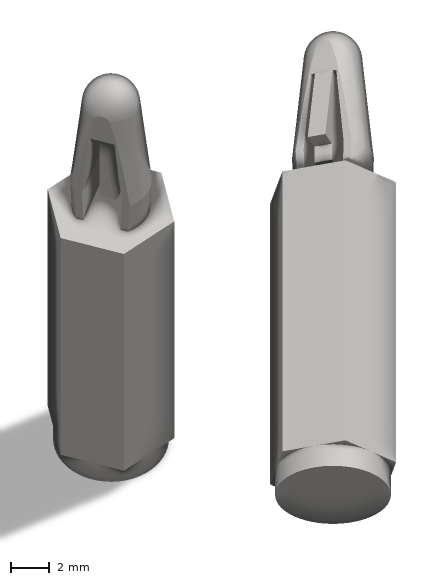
import cadquery as cq
import math

total_height = 27.5
across_flats = 6.0
across_corners = across_flats / math.cos(math.radians(30))
collar_height = 1.3
body_top = 18.05

base_radius = 2.04
shoulder_radius = 2.12
shoulder_z = 20.08
dome_radius = 1.5
dome_base_z = 26.12
head_thickness = 2.92

slot_top_z = 24.5
slot_base_half_width = 1.02
slot_shoulder_half_width = 1.1
slot_top_half_width = 0.7

tongue_width = 0.95
tongue_bottom_z = 19.1
tongue_back_y = 1.55
tongue_fillet = 1.02
tongue_front_y = tongue_fillet - head_thickness / 2
barb_tip_y = 2.58
barb_top_y = head_thickness / 2


def make_body():
    collar = cq.Workplane("XY").circle(across_flats / 2).extrude(collar_height)
    hexagon = (
        cq.Workplane("XY")
        .workplane(offset=collar_height)
        .polygon(6, across_corners)
        .extrude(body_top - collar_height)
    )
    return collar.union(hexagon)


def make_head():
    dome_height = total_height - dome_base_z
    sphere_radius = (dome_radius**2 + dome_height**2) / (2 * dome_height)
    half_angle = math.asin(dome_radius / sphere_radius) / 2
    arc_middle = (
        sphere_radius * math.sin(half_angle),
        total_height - sphere_radius * (1 - math.cos(half_angle)),
    )
    head = (
        cq.Workplane("XZ")
        .moveTo(0, body_top)
        .lineTo(base_radius, body_top)
        .lineTo(shoulder_radius, shoulder_z)
        .lineTo(dome_radius, dome_base_z)
        .threePointArc(arc_middle, (0, total_height))
        .close()
        .revolve(360, (0, 0), (0, 1))
    )
    flats = (
        cq.Workplane("XY")
        .workplane(offset=body_top)
        .rect(2 * shoulder_radius, head_thickness)
        .extrude(total_height - body_top)
    )
    return head.intersect(flats)


def make_slot():
    return (
        cq.Workplane("XZ")
        .moveTo(-slot_base_half_width, body_top)
        .lineTo(-slot_shoulder_half_width, shoulder_z)
        .lineTo(-slot_top_half_width, slot_top_z)
        .lineTo(slot_top_half_width, slot_top_z)
        .lineTo(slot_shoulder_half_width, shoulder_z)
        .lineTo(slot_base_half_width, body_top)
        .close()
        .extrude(head_thickness, both=True)
    )


def make_tongue():
    arc_offset = tongue_fillet * (1 - math.sqrt(0.5))
    return (
        cq.Workplane("YZ")
        .moveTo(tongue_front_y, tongue_bottom_z)
        .lineTo(tongue_front_y, slot_top_z - tongue_fillet)
        .threePointArc(
            (tongue_front_y - arc_offset, slot_top_z - arc_offset),
            (tongue_front_y - tongue_fillet, slot_top_z),
        )
        .lineTo(barb_top_y, slot_top_z)
        .lineTo(barb_tip_y, shoulder_z)
        .lineTo(tongue_back_y, shoulder_z)
        .lineTo(tongue_back_y, tongue_bottom_z)
        .close()
        .extrude(tongue_width / 2, both=True)
    )


result = make_body().union(make_head().cut(make_slot())).union(make_tongue())